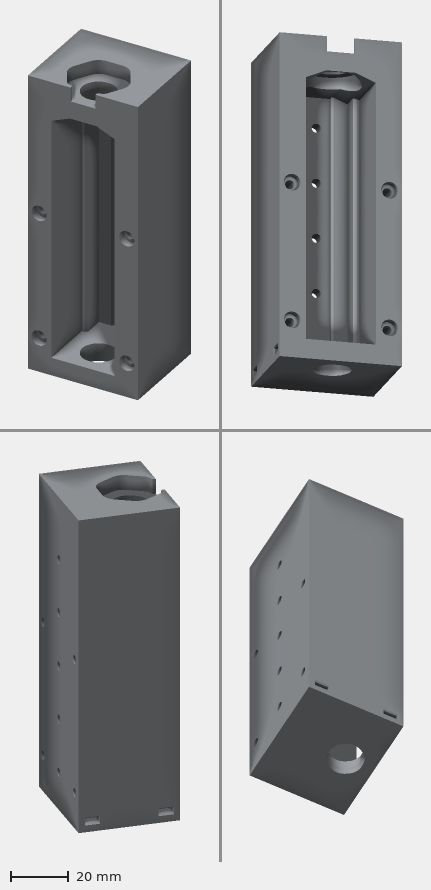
import cadquery as cq
import math

WIDTH = 44.0
DEPTH = 37.0
HEIGHT = 117.5

CAVITY_WIDTH = 25.1
CAVITY_DEPTH = 21.2
CAVITY_FLOOR = 7.0
ROOF_PEAK = 105.0
ROOF_EAVES = 102.0
ROOF_FLAT_WIDTH = 10.6

CHANNEL_WIDTH = 21.0
CHANNEL_DEPTH = 29.5
CHANNEL_CHAMFER = 1.0
GROOVE_WIDTH = 9.6
GROOVE_DEPTH = 31.7
GROOVE_CHAMFER = 0.8

RELIEF_WIDTH = 9.2
RELIEF_HEIGHT = 3.0
RELIEF_DEPTH = 1.0

BORE_ACROSS_FLATS = 13.0
BORE_CORNER_RADIUS = 5.8
BORE_Y = 11.0
COUNTERBORE_DIAMETER = 20.5
COUNTERBORE_TOP = 109.3
NUT_ACROSS_FLATS = 22.1
NUT_POCKET_DEPTH = 5.5
NUT_CORNER_RADIUS = 5.6
NUT_LIP = 1.5
LIP_CORNER_RADIUS = 3.0
MOUTH_WIDTH = 9.9
MOUTH_RADIUS = 0.7

SCREW_DIAMETER = 3.3
RAIL_HOLE_COUNT = 5
RAIL_HOLE_PITCH = 20.0
RAIL_HOLE_FIRST_Z = 14.1
MOUNT_HOLE_SPACING = 35.0
MOUNT_HOLE_LEVELS = (13.5, 63.5)
MOUNT_HEAD_DIAMETER = 6.0
MOUNT_HEAD_DEPTH = 3.0

SLOT_LENGTH = 5.5
SLOT_HEIGHT = 2.0
SLOT_DEPTH = 7.2
SLOT_CHAMFER = 0.5
SLOT_Z = 4.0
SLOT_INSET = 5.0


def roofed_prism():
    """Front-to-back prism with the cavity floor, side walls and sloping roof."""
    half = CAVITY_WIDTH / 2
    flat_half = ROOF_FLAT_WIDTH / 2
    outline = [
        (-half, CAVITY_FLOOR),
        (half, CAVITY_FLOOR),
        (half, ROOF_EAVES),
        (flat_half, ROOF_PEAK),
        (-flat_half, ROOF_PEAK),
        (-half, ROOF_EAVES),
    ]
    return cq.Workplane("XZ").polyline(outline).close().extrude(-DEPTH)


def cavity():
    """Cavity, carriage channel and rail groove, all under the same roof."""
    cavity_half = CAVITY_WIDTH / 2
    channel_half = CHANNEL_WIDTH / 2
    groove_half = GROOVE_WIDTH / 2
    right_side = [
        (cavity_half, 0),
        (cavity_half, CAVITY_DEPTH),
        (channel_half + CHANNEL_CHAMFER, CAVITY_DEPTH),
        (channel_half, CAVITY_DEPTH + CHANNEL_CHAMFER),
        (channel_half, CHANNEL_DEPTH),
        (groove_half + GROOVE_CHAMFER, CHANNEL_DEPTH),
        (groove_half, CHANNEL_DEPTH + GROOVE_CHAMFER),
        (groove_half, GROOVE_DEPTH),
    ]
    left_side = [(-x, y) for x, y in reversed(right_side)]
    stepped_column = cq.Workplane("XY").polyline(right_side + left_side).close().extrude(HEIGHT)
    return stepped_column.intersect(roofed_prism())


def groove_relief():
    """Wedge that deepens the rail groove towards the cavity floor."""
    return (
        cq.Workplane("YZ")
        .moveTo(GROOVE_DEPTH, CAVITY_FLOOR)
        .lineTo(GROOVE_DEPTH + RELIEF_DEPTH, CAVITY_FLOOR)
        .lineTo(GROOVE_DEPTH, CAVITY_FLOOR + RELIEF_HEIGHT)
        .close()
        .extrude(RELIEF_WIDTH / 2, both=True)
    )


def spindle_bore():
    """Well-rounded hexagonal bore, counterbored upwards from the cavity roof."""
    corner_diameter = BORE_ACROSS_FLATS / math.cos(math.pi / 6)
    plan = cq.Workplane("XY").center(0, BORE_Y)
    bore = plan.polygon(6, corner_diameter).extrude(HEIGHT).edges("|Z").fillet(BORE_CORNER_RADIUS)
    counterbore = (
        plan.workplane(offset=ROOF_EAVES)
        .circle(COUNTERBORE_DIAMETER / 2)
        .extrude(COUNTERBORE_TOP - ROOF_EAVES)
    )
    return bore.union(counterbore)


def nut_pocket():
    """Rounded hexagonal pocket with a narrower mouth through the front face."""
    apothem = NUT_ACROSS_FLATS / 2
    corner = apothem / math.cos(math.pi / 6)
    lip_x = corner - (BORE_Y - NUT_LIP) * math.tan(math.pi / 6)
    mouth_half = MOUTH_WIDTH / 2
    rounded_corners = [
        (corner / 2, BORE_Y + apothem, NUT_CORNER_RADIUS),
        (corner, BORE_Y, NUT_CORNER_RADIUS),
        (lip_x, NUT_LIP, LIP_CORNER_RADIUS),
        (mouth_half, NUT_LIP, MOUTH_RADIUS),
    ]
    right_side = [(x, y) for x, y, _ in rounded_corners] + [(mouth_half, 0)]
    left_side = [(-x, y) for x, y in reversed(right_side)]
    pocket = (
        cq.Workplane("XY", origin=(0, 0, HEIGHT - NUT_POCKET_DEPTH))
        .polyline(right_side + left_side)
        .close()
        .extrude(NUT_POCKET_DEPTH)
    )
    for x, y, radius in rounded_corners:
        for side in (-1, 1):
            middle = (side * x, y, HEIGHT - NUT_POCKET_DEPTH / 2)
            corner_edge = cq.selectors.NearestToPointSelector(middle)
            pocket = pocket.edges("|Z").edges(corner_edge).fillet(radius)
    return pocket


def front_holes(points, diameter, depth):
    """Round holes bored back from the front face at X-Z points."""
    return cq.Workplane("XZ").pushPoints(points).circle(diameter / 2).extrude(-depth)


def side_slot(y):
    """Blind slot in the left side with chamfered upper and lower lips."""
    left = -WIDTH / 2
    half = SLOT_HEIGHT / 2
    upper_half = [
        (left, half + SLOT_CHAMFER),
        (left + SLOT_CHAMFER, half),
        (left + SLOT_DEPTH, half),
    ]
    lower_half = [(x, -z) for x, z in reversed(upper_half)]
    return (
        cq.Workplane("XZ", origin=(0, y, SLOT_Z))
        .polyline(upper_half + lower_half)
        .close()
        .extrude(SLOT_LENGTH / 2, both=True)
    )


rail_holes = [(0, RAIL_HOLE_FIRST_Z + i * RAIL_HOLE_PITCH) for i in range(RAIL_HOLE_COUNT)]
mount_holes = [(side * MOUNT_HOLE_SPACING / 2, z) for side in (-1, 1) for z in MOUNT_HOLE_LEVELS]

block = cq.Workplane("XY").box(WIDTH, DEPTH, HEIGHT, centered=(True, False, False))

result = block.cut(cavity()).cut(groove_relief()).cut(spindle_bore()).cut(nut_pocket())
result = result.cut(front_holes(rail_holes + mount_holes, SCREW_DIAMETER, DEPTH))
result = result.cut(front_holes(mount_holes, MOUNT_HEAD_DIAMETER, MOUNT_HEAD_DEPTH))
for slot_y in (SLOT_INSET, DEPTH - SLOT_INSET):
    result = result.cut(side_slot(slot_y))